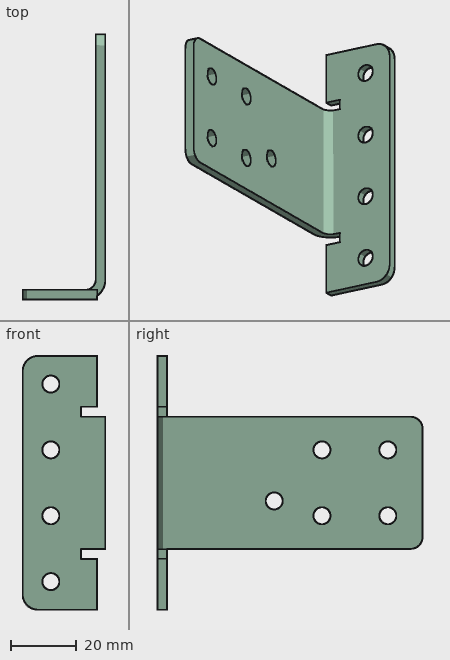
import cadquery as cq

overall_width = 25.19
overall_depth = 80.61
plate_height = 77.15

thickness = 3.0
inner_bend_radius = 3.0
outer_bend_radius = inner_bend_radius + thickness

plate_width = 22.65
plate_corner_radius = 4.7
relief_height = 3.0
relief_start = 17.8

arm_height = 40.2
arm_corner_radius = 3.7

hole_diameter = 5.1
hole_pitch = 20.0
plate_hole_count = 4
plate_hole_x = 8.6
arm_hole_end_distance = 10.6
single_hole_end_distance = 45.1
single_hole_z = -5.5

bend_start_x = overall_width - outer_bend_radius
arm_inner_x = overall_width - thickness


def make_plate():
    """Upright plate, rounded along its free edge and relieved beside the bend."""
    plate = cq.Workplane("XY").box(plate_width, thickness, plate_height, centered=(False, False, True))
    plate = plate.edges("|Y and <X").fillet(plate_corner_radius)
    relief_height_total = arm_height + 2 * relief_height
    opening = cq.Workplane("XY").box(
        plate_width - relief_start, thickness, relief_height_total, centered=(False, False, True)
    )
    return plate.cut(opening.translate((relief_start, 0, 0)))


def make_arm():
    """Bent strip: short root joined to the plate, quarter bend, then the straight arm."""
    profile = (
        cq.Workplane("XY")
        .moveTo(relief_start, 0)
        .lineTo(bend_start_x, 0)
        .radiusArc((overall_width, outer_bend_radius), -outer_bend_radius)
        .lineTo(overall_width, overall_depth)
        .lineTo(arm_inner_x, overall_depth)
        .lineTo(arm_inner_x, outer_bend_radius)
        .radiusArc((bend_start_x, thickness), inner_bend_radius)
        .lineTo(relief_start, thickness)
        .close()
    )
    arm = profile.extrude(arm_height / 2, both=True)
    return arm.edges("|X and >Y").fillet(arm_corner_radius)


def plate_holes():
    """Vertical row of holes through the plate."""
    return (
        cq.Workplane("XZ")
        .center(plate_hole_x, 0)
        .rarray(hole_pitch, hole_pitch, 1, plate_hole_count)
        .circle(hole_diameter / 2)
        .extrude(-thickness)
    )


def arm_holes():
    """Square group of four holes near the arm's free end, plus one single hole."""
    group_y = overall_depth - arm_hole_end_distance - hole_pitch / 2
    single_y = overall_depth - single_hole_end_distance
    sketch_plane = cq.Workplane("YZ", origin=(arm_inner_x, 0, 0))
    group = (
        sketch_plane.center(group_y, 0)
        .rarray(hole_pitch, hole_pitch, 2, 2)
        .circle(hole_diameter / 2)
        .extrude(thickness)
    )
    single = (
        cq.Workplane("YZ", origin=(arm_inner_x, single_y, single_hole_z))
        .circle(hole_diameter / 2)
        .extrude(thickness)
    )
    return group.union(single)


result = make_plate().union(make_arm()).cut(plate_holes()).cut(arm_holes())